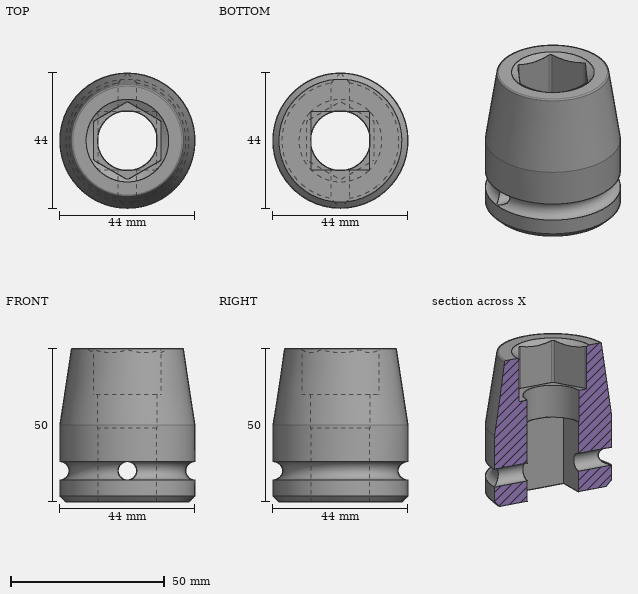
import cadquery as cq
import math

height = 50.0
body_radius = 22.0
nose_radius = 18.2
nose_start_z = 25.0
nose_fillet = 0.5
base_chamfer = 2.0

groove_z = 10.15
groove_radius = 3.0
pin_hole_diameter = 6.0

hex_sides = 6
hex_turn = 90.0
hex_across_flats = 22.0
hex_corner_fillet = 1.0
hex_floor_z = 35.0
mouth_diameter = 26.9
mouth_angle = 30.0

drive_square = 19.1
drive_depth = 24.0
bore_diameter = 19.4


def make_body():
    """Revolved outside shape: chamfered base, round groove, tapered nose."""
    profile = (
        cq.Workplane("YZ")
        .lineTo(body_radius - base_chamfer, 0)
        .lineTo(body_radius, base_chamfer)
        .lineTo(body_radius, groove_z - groove_radius)
        .threePointArc(
            (body_radius - groove_radius, groove_z),
            (body_radius, groove_z + groove_radius),
        )
        .lineTo(body_radius, nose_start_z)
        .lineTo(nose_radius, height)
        .lineTo(0, height)
        .close()
    )
    body = profile.revolve(360, (0, 0, 0), (0, 1, 0))
    return body.faces(">Z").edges().fillet(nose_fillet)


def make_hex_socket():
    """Hexagonal pocket with two corners on the Y axis and rounded corners."""
    across_corners = hex_across_flats / math.cos(math.pi / hex_sides)
    return (
        cq.Workplane("XY")
        .workplane(offset=hex_floor_z)
        .transformed(rotate=(0, 0, hex_turn))
        .polygon(hex_sides, across_corners)
        .extrude(height - hex_floor_z)
        .edges("|Z")
        .fillet(hex_corner_fillet)
    )


def make_mouth():
    """Lead-in cone that opens the hexagon at the top face."""
    mouth_radius = mouth_diameter / 2
    cone_depth = mouth_radius * math.tan(math.radians(mouth_angle))
    return (
        cq.Workplane("YZ")
        .moveTo(0, height)
        .lineTo(mouth_radius, height)
        .lineTo(0, height - cone_depth)
        .close()
        .revolve(360, (0, 0, 0), (0, 1, 0))
    )


def make_drive():
    """Square drive pocket with its flats along X and Y."""
    return (
        cq.Workplane("XY")
        .rect(drive_square, drive_square)
        .extrude(drive_depth)
    )


def make_bore():
    """Round passage between the square drive and the hexagon."""
    return (
        cq.Workplane("XY")
        .workplane(offset=drive_depth)
        .circle(bore_diameter / 2)
        .extrude(hex_floor_z - drive_depth)
    )


def make_pin_hole():
    """Cross hole along Y through both walls of the groove."""
    return (
        cq.Workplane("XZ")
        .center(0, groove_z)
        .circle(pin_hole_diameter / 2)
        .extrude(body_radius, both=True)
    )


result = (
    make_body()
    .cut(make_hex_socket())
    .cut(make_mouth())
    .cut(make_drive())
    .cut(make_bore())
    .cut(make_pin_hole())
)